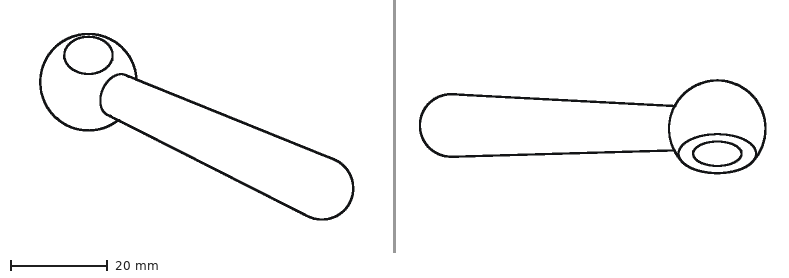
import cadquery as cq
import math

overall_length = 85.6
ball_radius = 10.0
bore_radius = 5.005
base_depth = 6.0
handle_angle = 20.0
neck_radius = 4.5
tip_radius = 6.5

top_height = math.sqrt(ball_radius**2 - bore_radius**2)
body_height = top_height + base_depth

neck_distance = math.sqrt(ball_radius**2 - neck_radius**2)
tip_reach = overall_length - ball_radius - tip_radius
tip_distance = tip_reach / math.cos(math.radians(handle_angle))

neck_to_tip = tip_distance - neck_distance
taper = math.asin(tip_radius / math.hypot(neck_to_tip, neck_radius)) - math.atan2(
    neck_radius, neck_to_tip
)
tangent_distance = tip_distance - tip_radius * math.sin(taper)
tangent_radius = tip_radius * math.cos(taper)


def make_ball():
    """Ball with its underside and top cut flat."""
    slab = (
        cq.Workplane("XY")
        .workplane(offset=-base_depth)
        .circle(2 * ball_radius)
        .extrude(body_height)
    )
    return cq.Workplane("XY").sphere(ball_radius).intersect(slab)


def make_handle():
    """Tapered handle with a round tip, revolved about X and then tilted upward."""
    root_distance = bore_radius
    root_radius = neck_radius - (neck_distance - root_distance) * math.tan(taper)
    tip_diagonal = tip_radius * math.sqrt(0.5)
    profile = (
        cq.Workplane("XZ")
        .moveTo(root_distance, 0)
        .lineTo(root_distance, root_radius)
        .lineTo(tangent_distance, tangent_radius)
        .threePointArc(
            (tip_distance + tip_diagonal, tip_diagonal), (tip_distance + tip_radius, 0)
        )
        .close()
    )
    handle = profile.revolve(360, (0, 0), (1, 0))
    return handle.rotate((0, 0, 0), (0, 1, 0), -handle_angle)


bore = (
    cq.Workplane("XY")
    .workplane(offset=-base_depth)
    .circle(bore_radius)
    .extrude(body_height)
)

result = make_ball().union(make_handle()).cut(bore)